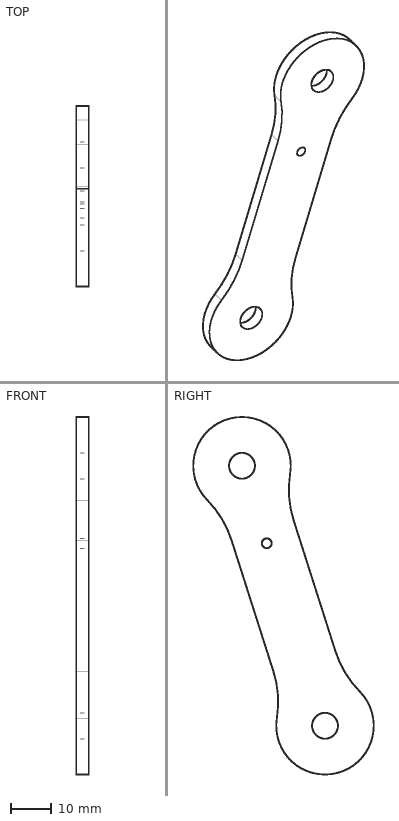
import math

import cadquery as cq

thickness = 3.175
width_y = 44.75
height_z = 88.57

end_radius = 12.1
neck_half_width = 8.1
blend_radius = 25.0

pivot_diameter = 6.35
pilot_diameter = 2.38
pilot_distance = 20.15

pivot_offset_y = width_y - 2 * end_radius
pivot_offset_z = height_z - 2 * end_radius
pivot_spacing = math.hypot(pivot_offset_y, pivot_offset_z)
lean_angle = math.degrees(math.atan2(pivot_offset_y, pivot_offset_z))

blend_center_across = neck_half_width + blend_radius
blend_center_along = math.sqrt((end_radius + blend_radius) ** 2 - blend_center_across ** 2)
blend_angle = math.atan2(blend_center_along, blend_center_across)


def link_outline():
    """Closed link outline, drawn upright with the lower pivot at the origin."""
    circle_across = end_radius * math.cos(blend_angle)
    circle_along = end_radius * math.sin(blend_angle)
    middle_across = blend_center_across - blend_radius * math.cos(blend_angle / 2)
    middle_along = blend_center_along - blend_radius * math.sin(blend_angle / 2)
    lower_right = [
        (circle_across, circle_along),
        (middle_across, middle_along),
        (neck_half_width, blend_center_along),
    ]

    upper_right = [(across, pivot_spacing - along) for across, along in lower_right]
    lower_left = [(-across, along) for across, along in lower_right]
    upper_left = [(-across, along) for across, along in upper_right]

    return (
        cq.Workplane("YZ")
        .moveTo(*lower_right[0])
        .threePointArc(lower_right[1], lower_right[2])
        .lineTo(*upper_right[2])
        .threePointArc(upper_right[1], upper_right[0])
        .threePointArc((0, pivot_spacing + end_radius), upper_left[0])
        .threePointArc(upper_left[1], upper_left[2])
        .lineTo(*lower_left[2])
        .threePointArc(lower_left[1], lower_left[0])
        .threePointArc((0, -end_radius), lower_right[0])
        .close()
    )


def through_hole(along, diameter):
    """Cylinder through the plate thickness, on the link centreline."""
    return cq.Workplane("YZ").center(0, along).circle(diameter / 2).extrude(thickness)


link = link_outline().extrude(thickness)

for pivot_along in (0, pivot_spacing):
    link = link.cut(through_hole(pivot_along, pivot_diameter))

link = link.cut(through_hole(pivot_spacing - pilot_distance, pilot_diameter))

result = link.rotate((0, 0, 0), (1, 0, 0), lean_angle)